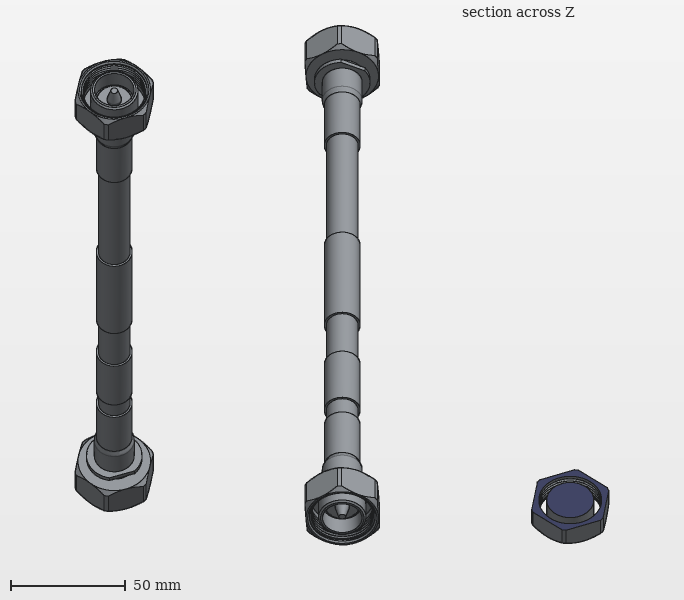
import cadquery as cq
import math

total_length = 295.5
half_length = total_length / 2

nut_across_flats = 31.5
nut_corner_diameter = 35.5
nut_height = 15.0
nut_face_diameter = nut_across_flats
nut_chamfer_height = 1.8
nut_mouth_diameter = 30.0
nut_relief_diameter = 28.7
nut_relief_depth = 1.5
thread_minor_diameter = 27.2
thread_major_diameter = 29.3
thread_pitch = 1.5
thread_turns = 5
socket_depth = 11.8
contact_depth = 8.5

barrel_outer_diameter = 20.7
barrel_tip_diameter = 19.0
barrel_taper_height = 0.5
barrel_bore_diameter = 17.0
insulator_diameter = 15.5
insulator_height = 0.5
pin_diameter = 6.2
pin_tip_diameter = 3.0
pin_tip_depth = 1.0
pin_taper_height = 6.0

neck_diameter = 19.5
flange_diameter = 24.2
flange_across_flats = 21.3
flange_front = 17.0
flange_thickness = 2.0
body_diameter = 17.5
body_end = 30.7
connector_length = 33.5

cable_diameter = 14.0
sleeve_diameter = 15.7
end_sleeve_length = 25.7
long_marker_length = 50.8
short_marker_length = 29.3
short_marker_center = -64.7


def disc(diameter, start, end):
    """Round bar along Z between two heights."""
    return cq.Workplane("XY").workplane(offset=start).circle(diameter / 2).extrude(end - start)


def revolved(profile):
    """Solid of revolution about Z from (radius, height) points."""
    return cq.Workplane("XZ").polyline(profile).close().revolve(360, (0, 0, 0), (0, 1, 0))


def hex_nut():
    """Solid hexagon whose corners are turned down and chamfered at both ends; mating face at z = 0."""
    hexagon = (
        cq.Workplane("XY")
        .polygon(6, nut_across_flats / math.cos(math.pi / 6))
        .extrude(-nut_height)
        .rotate((0, 0, 0), (0, 0, 1), 30)
    )
    face_radius = nut_face_diameter / 2
    corner_radius = nut_corner_diameter / 2
    turned_blank = revolved([
        (0, 0),
        (face_radius, 0),
        (corner_radius, -nut_chamfer_height),
        (corner_radius, nut_chamfer_height - nut_height),
        (face_radius, -nut_height),
        (0, -nut_height),
    ])
    return hexagon.intersect(turned_blank)


def nut_socket():
    """Socket in the nut, lined with ring-shaped thread grooves behind a flared relief."""
    minor_radius = thread_minor_diameter / 2
    major_radius = thread_major_diameter / 2
    mouth_radius = nut_mouth_diameter / 2
    relief_radius = nut_relief_diameter / 2
    profile = [
        (0, 0),
        (mouth_radius, 0),
        (relief_radius, relief_radius - mouth_radius),
        (relief_radius, -nut_relief_depth),
        (minor_radius, -nut_relief_depth),
    ]
    for turn in range(1, thread_turns + 1):
        crest_height = -nut_relief_depth - turn * thread_pitch
        profile.append((major_radius, crest_height + thread_pitch / 2))
        profile.append((minor_radius, crest_height))
    profile += [(minor_radius, -socket_depth), (0, -socket_depth)]
    return revolved(profile)


def contact_barrel():
    """Outer contact tube with a tapered tip."""
    outer_radius = barrel_outer_diameter / 2
    bore_radius = barrel_bore_diameter / 2
    return revolved([
        (bore_radius, 0),
        (barrel_tip_diameter / 2, 0),
        (outer_radius, -barrel_taper_height),
        (outer_radius, -socket_depth),
        (bore_radius, -socket_depth),
    ])


def centre_pin():
    """Centre contact with a tapered tip."""
    radius = pin_diameter / 2
    return revolved([
        (0, -pin_tip_depth),
        (pin_tip_diameter / 2, -pin_tip_depth),
        (radius, -pin_tip_depth - pin_taper_height),
        (radius, -socket_depth),
        (0, -socket_depth),
    ])


def flange():
    """Thin round flange with two flats facing -X and +X."""
    plate = disc(flange_diameter, -flange_front - flange_thickness, -flange_front)
    flats = cq.Workplane("XY").box(flange_across_flats, flange_diameter, total_length)
    return plate.intersect(flats)


def connector_body():
    """Turned body from the nut to the end sleeve, ending in a smooth S-shaped step."""
    neck_radius = neck_diameter / 2
    body_radius = body_diameter / 2
    sleeve_radius = sleeve_diameter / 2
    return (
        cq.Workplane("XZ")
        .moveTo(0, -nut_height)
        .lineTo(neck_radius, -nut_height)
        .lineTo(neck_radius, -flange_front)
        .lineTo(body_radius, -flange_front)
        .lineTo(body_radius, -body_end)
        .spline([(sleeve_radius, -connector_length)], tangents=[(0, -1), (0, -1)], includeCurrent=True)
        .lineTo(0, -connector_length)
        .close()
        .revolve(360, (0, 0, 0), (0, 1, 0))
    )


def insulator():
    """Filling at the bottom of the contact barrel, with a low raised disc around the pin."""
    filling = disc(barrel_outer_diameter, -socket_depth, -contact_depth)
    return filling.union(disc(insulator_diameter, -contact_depth, insulator_height - contact_depth))


def connector():
    """Complete plug at the +Z end of the assembly."""
    plug = hex_nut().cut(nut_socket()).union(contact_barrel()).union(centre_pin())
    plug = plug.union(insulator()).union(connector_body()).union(flange())
    return plug.translate((0, 0, half_length))


def sleeve(center, length):
    """Tube fitted closely around the cable."""
    tube = disc(sleeve_diameter, center - length / 2, center + length / 2)
    return tube.cut(disc(cable_diameter, -half_length, half_length))


cable_end = half_length - connector_length
cable = disc(cable_diameter, -cable_end, cable_end)

connectors = [connector().rotate((0, 0, 0), (1, 0, 0), angle) for angle in (0, 180)]

end_sleeve_center = cable_end - end_sleeve_length / 2
sleeves = [
    sleeve(center, length)
    for center, length in (
        (end_sleeve_center, end_sleeve_length),
        (0, long_marker_length),
        (short_marker_center, short_marker_length),
        (-end_sleeve_center, end_sleeve_length),
    )
]

result = cq.Compound.makeCompound([cable.val(), *(body.val() for body in connectors + sleeves)])